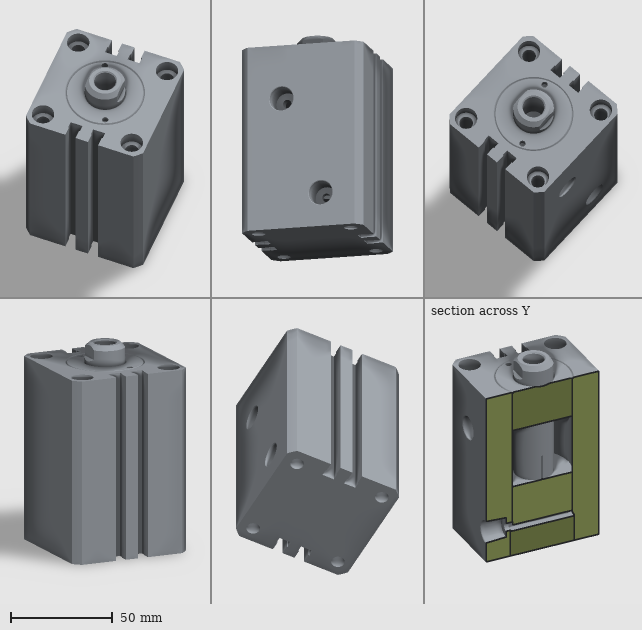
import cadquery as cq
import math


body_width = 62.0
total_height = 103.0
rod_projection = 10.0
body_height = total_height - rod_projection
corner_radius = 41.3
half_width = body_width / 2

bore_radius = 19.2
mouth_chamfer = 0.5
cap_radius = 20.1
cap_height = 14.2
lead_in_top = 16.6

bolt_spacing = 47.0
bolt_diameter = 6.7
counterbore_diameter = 11.0
counterbore_depth = 6.5

slot_spacing = 11.9
slot_mouth_width = 5.4
slot_mouth_depth = 4.7
slot_inner_width = 6.3
slot_depth = 8.0

port_offset = 10.0
upper_port_height = body_height - 27.0
lower_port_height = 17.0
port_mouth_radius = 6.3
port_mouth_chamfer = 0.3
port_floor_radius = 5.4
port_depth = 11.0
oil_hole_diameter = 4.2

rod_radius = 10.0
rod_chamfer = 2.2
flat_width = 17.0
flat_length = 7.0
rod_hole_radius = 5.4
rod_hole_mouth_radius = 6.0
rod_hole_depth = 20.0

cover_length = 22.0
cover_edge_chamfer = 0.5
rod_mouth_chamfer = 0.6
spanner_circle_radius = 16.5
spanner_angle = 112.0
spanner_hole_radius = 1.5
spanner_hole_depth = 3.1

piston_bottom = 17.3
piston_length = 22.0

drill_tip_half_angle = math.radians(59)


def frustum(bottom_radius, top_radius, bottom, top):
    """Truncated cone about the Z axis between two heights."""
    outline = [(0, bottom), (bottom_radius, bottom), (top_radius, top), (0, top)]
    return cq.Workplane("XZ").polyline(outline).close().revolve(360, (0, 0, 0), (0, 1, 0))


def drilled_hole(radius, depth):
    """Blind hole that runs down from Z = 0 and ends in a drill tip."""
    tip = radius / math.tan(drill_tip_half_angle)
    outline = [(0, 0), (radius, 0), (radius, -depth), (0, -depth - tip)]
    return cq.Workplane("XZ").polyline(outline).close().revolve(360, (0, 0, 0), (0, 1, 0))


def bar(radius, bottom, top):
    """Cylinder about the Z axis between two heights."""
    return cq.Workplane("XY").workplane(offset=bottom).circle(radius).extrude(top - bottom)


def sensor_slot(x, side):
    """Full-height stepped slot at x in the -Y side (side = -1) or the +Y side (side = 1)."""
    face = side * half_width
    mouth = (
        cq.Workplane("XY")
        .center(x, face - side * slot_mouth_depth / 2)
        .rect(slot_mouth_width, slot_mouth_depth)
        .extrude(body_height)
    )
    inner_depth = slot_depth - slot_mouth_depth
    inner = (
        cq.Workplane("XY")
        .center(x, face - side * (slot_mouth_depth + inner_depth / 2))
        .rect(slot_inner_width, inner_depth)
        .extrude(body_height)
    )
    return mouth.union(inner)


def oil_port(y, z):
    """Tapered, chamfered port in the -X side with an oil hole from its floor to the bore."""
    taper_radius = port_mouth_radius - port_mouth_chamfer
    taper = frustum(port_floor_radius, taper_radius, -port_depth, -port_mouth_chamfer)
    mouth = frustum(taper_radius, port_mouth_radius, -port_mouth_chamfer, 0)
    oil_hole = bar(oil_hole_diameter / 2, -half_width, -port_depth / 2)
    port = taper.union(mouth).union(oil_hole).rotate((0, 0, 0), (0, 1, 0), -90)
    return port.translate((-half_width, y, z))


def make_housing():
    block = cq.Workplane("XY").rect(body_width, body_width).extrude(body_height)
    block = block.intersect(bar(corner_radius, 0, body_height))

    block = block.cut(bar(bore_radius, 0, body_height))
    block = block.cut(
        frustum(bore_radius, bore_radius + mouth_chamfer, body_height - mouth_chamfer, body_height)
    )
    block = block.cut(frustum(cap_radius, bore_radius, cap_height, lead_in_top))
    block = block.cut(bar(cap_radius, 0, cap_height))

    block = (
        block.faces(">Z")
        .workplane(origin=(0, 0, body_height))
        .rect(bolt_spacing, bolt_spacing, forConstruction=True)
        .vertices()
        .cboreHole(bolt_diameter, counterbore_diameter, counterbore_depth)
    )
    for side in (-1, 1):
        for x in (-slot_spacing / 2, slot_spacing / 2):
            block = block.cut(sensor_slot(x, side))
    block = block.cut(oil_port(port_offset, upper_port_height))
    block = block.cut(oil_port(-port_offset, lower_port_height))
    return block


def make_rod_cover():
    cover = bar(bore_radius, body_height - cover_length, body_height)
    cover = cover.faces(">Z").edges().chamfer(cover_edge_chamfer)
    cover = cover.cut(bar(rod_radius, body_height - cover_length, body_height))
    cover = cover.cut(
        frustum(rod_radius, rod_radius + rod_mouth_chamfer, body_height - rod_mouth_chamfer, body_height)
    )
    for angle in (spanner_angle, spanner_angle + 180):
        hole = drilled_hole(spanner_hole_radius, spanner_hole_depth)
        hole = hole.translate((spanner_circle_radius, 0, body_height))
        cover = cover.cut(hole.rotate((0, 0, 0), (0, 0, 1), angle))
    return cover


def flat_cutter(side):
    """Removes one wrench flat, whose lower end is a 45 degree shoulder out to the rod surface."""
    flat = flat_width / 2
    shoulder_drop = rod_radius - flat
    shoulder = total_height - flat_length
    outline = [
        (side * flat, total_height),
        (side * flat, shoulder),
        (side * rod_radius, shoulder - shoulder_drop),
        (side * rod_radius, total_height),
    ]
    return cq.Workplane("XZ").polyline(outline).close().extrude(rod_radius, both=True)


def make_piston_rod():
    rod = bar(rod_radius, piston_bottom, total_height)
    rod = rod.faces(">Z").edges().chamfer(rod_chamfer)
    for side in (-1, 1):
        rod = rod.cut(flat_cutter(side))
    rod = rod.cut(drilled_hole(rod_hole_radius, rod_hole_depth).translate((0, 0, total_height)))
    mouth_depth = rod_hole_mouth_radius - rod_hole_radius
    rod = rod.cut(
        frustum(rod_hole_radius, rod_hole_mouth_radius, total_height - mouth_depth, total_height)
    )
    return rod


def make_piston():
    piston_top = piston_bottom + piston_length
    return bar(bore_radius, piston_bottom, piston_top).cut(bar(rod_radius, piston_bottom, piston_top))


def make_end_cap():
    return bar(cap_radius, 0, cap_height)


housing = make_housing()
rod_cover = make_rod_cover()
piston_rod = make_piston_rod()
piston = make_piston()
end_cap = make_end_cap()

result = cq.Compound.makeCompound(
    [housing.val(), rod_cover.val(), piston_rod.val(), piston.val(), end_cap.val()]
)